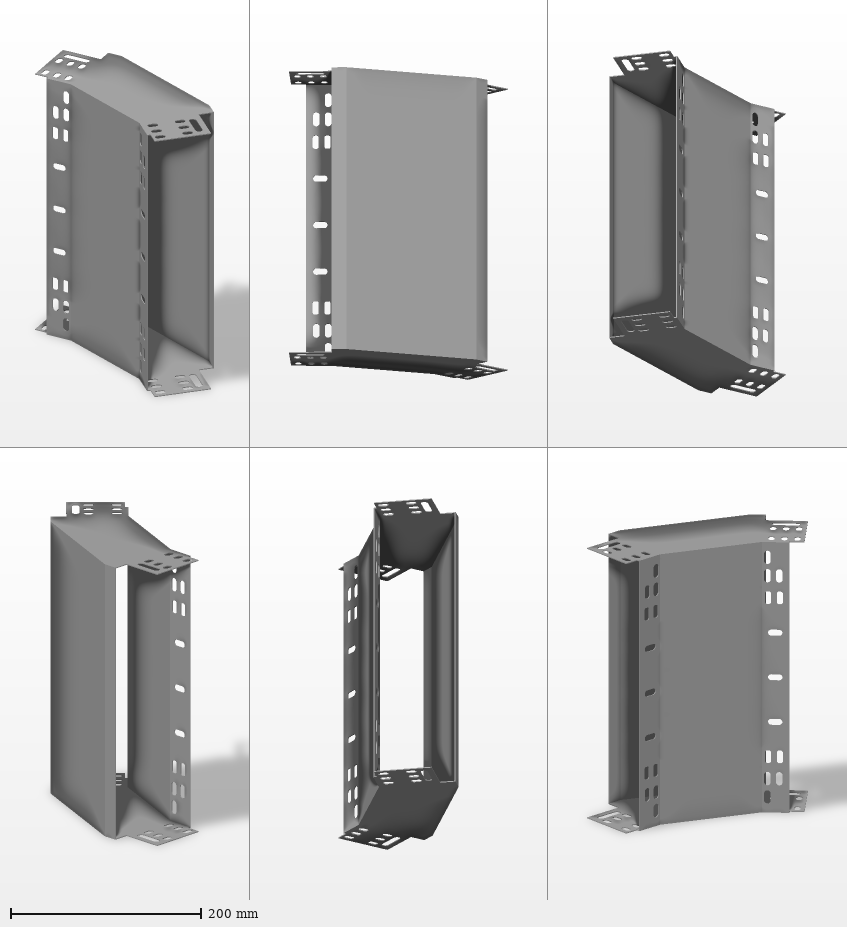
import cadquery as cq
import math

height = 303.2
sheet = 1.03
bend_angle = 22.5

channel_length = 245.5
channel_depth = 82.2
lid_back_y = 48.0
floor_wing_length = 29.0
lid_wing_length = 15.8
lid_flange_depth = 22.7

tab_reach = 44.5
tab_low = 3.5
tab_high = 65.5
tab_slot_width = 6.7
tab_slot_length = 11.5
tab_slot_first = 9.5
tab_slot_pitch = 13.5
tab_slots_per_row = 3
tab_slot_rows = (12.0, 42.0)
tab_long_slot_width = 8.0
tab_long_slot_length = 30.0
tab_long_slot_along = 22.5
tab_long_slot_row = 55.5

wing_slot_width = 7.0
wing_slot_length = 15.2
end_slot_inner = 5.8
end_slot_pitch = 12.5
end_slot_high_z = 134.3
end_slot_low_z = 113.7
lock_slot_width = 6.5
lock_slot_length = 14.3
lock_slot_corner_radius = 2.0
lock_slot_inner = 6.5
lock_slot_pitch = 12.5
lock_slot_z = 89.0
cross_slot_offset = 14.0
cross_slot_pitch = 50.0

cos_bend = math.cos(math.radians(bend_angle))
sin_bend = math.sin(math.radians(bend_angle))
tan_half_bend = math.tan(math.radians(bend_angle / 2))

floor_bend_x = channel_length / 2 - tab_reach * cos_bend - tab_high * sin_bend
floor_y = lid_back_y - channel_depth
lid_bend_along = -channel_depth * tan_half_bend
lid_tip_along = lid_bend_along + lid_wing_length
side_plate_bottoms = (-height / 2, height / 2 - sheet)
lid_inside = channel_depth - sheet
flange_half_width = floor_bend_x + lid_inside * tan_half_bend
lid_flange_end_y = lid_back_y - lid_flange_depth


def bent_point(along, across):
    """XY point of the +X bent channel, measured from the floor bend."""
    x = floor_bend_x + along * cos_bend + across * sin_bend
    y = floor_y - along * sin_bend + across * cos_bend
    return (x, y)


def mitre_point(across):
    """XY point on the +X bend, at a distance across the channel from the floor."""
    return (floor_bend_x + across * tan_half_bend, floor_y + across)


def symmetric_prism(right_points, bottom, thickness):
    """Prism whose outline is a +X half outline and its mirror image."""
    left_points = [(-x, y) for x, y in reversed(right_points)]
    outline = cq.Workplane("XY").workplane(offset=bottom).polyline(right_points + left_points)
    return outline.close().extrude(thickness)


def both_sides(cutter):
    """A cutter and its mirror image in the YZ plane."""
    return cutter.union(cutter.mirror("YZ"))


def floor_with_wings():
    """Flat floor with a bent wing at each end, over the full height."""
    outline = [
        mitre_point(0),
        bent_point(floor_wing_length, 0),
        bent_point(floor_wing_length, sheet),
        mitre_point(sheet),
    ]
    return symmetric_prism(outline, -height / 2, height)


def side_plate(bottom):
    """Side plate with its two tabs and a rectangular notch that the lid flange fills."""
    outline = [
        mitre_point(0),
        bent_point(floor_wing_length, 0),
        bent_point(floor_wing_length, tab_low),
        bent_point(tab_reach, tab_low),
        bent_point(tab_reach, tab_high),
        bent_point(lid_tip_along, tab_high),
        bent_point(lid_tip_along, lid_inside),
        mitre_point(lid_inside),
        (flange_half_width, lid_flange_end_y),
    ]
    return symmetric_prism(outline, bottom, sheet)


def tab_slots():
    """Slots through the +X tabs of both side plates."""
    plane = cq.Plane(
        origin=(floor_bend_x, floor_y, -height / 2),
        xDir=(cos_bend, -sin_bend, 0),
        normal=(0, 0, 1),
    )
    places = [
        (tab_slot_first + step * tab_slot_pitch, row)
        for step in range(tab_slots_per_row)
        for row in tab_slot_rows
    ]
    short = cq.Workplane(plane).pushPoints(places).slot2D(tab_slot_length, tab_slot_width, 90)
    long = cq.Workplane(plane).center(tab_long_slot_along, tab_long_slot_row)
    long = long.slot2D(tab_long_slot_length, tab_long_slot_width)
    return short.extrude(height).union(long.extrude(height))


def wing_slots():
    """Slots through the +X floor wing."""
    plane = cq.Plane(
        origin=(floor_bend_x, floor_y, 0),
        xDir=(cos_bend, -sin_bend, 0),
        normal=(-sin_bend, -cos_bend, 0),
    )
    end_outer = end_slot_inner + end_slot_pitch
    lock_outer = lock_slot_inner + lock_slot_pitch
    end_places = []
    lock_places = []
    for side in (-1, 1):
        end_places.append((end_slot_inner, side * end_slot_high_z))
        end_places.append((end_slot_inner, side * end_slot_low_z))
        end_places.append((end_outer, side * end_slot_low_z))
        lock_places.append((lock_slot_inner, side * lock_slot_z))
        lock_places.append((lock_outer, side * lock_slot_z))
    cross_places = [(cross_slot_offset, step * cross_slot_pitch) for step in (-1, 0, 1)]

    ends = cq.Workplane(plane).pushPoints(end_places).slot2D(wing_slot_length, wing_slot_width, 90)
    lock_shape = cq.Sketch().rect(lock_slot_width, lock_slot_length)
    lock_shape = lock_shape.vertices().fillet(lock_slot_corner_radius)
    locks = cq.Workplane(plane).pushPoints(lock_places).placeSketch(lock_shape)
    crosses = cq.Workplane(plane).pushPoints(cross_places).slot2D(wing_slot_length, wing_slot_width)
    return ends.extrude(-sheet).union(locks.extrude(-sheet)).union(crosses.extrude(-sheet))


def channel_body():
    """Slotted floor and two side plates as one sheet-metal channel."""
    body = floor_with_wings()
    for bottom in side_plate_bottoms:
        body = body.union(side_plate(bottom))
    return body.cut(both_sides(tab_slots())).cut(both_sides(wing_slots()))


def lid_body():
    """Lid panel with two bent wings and a flange flush in each side plate."""
    outline = [
        mitre_point(channel_depth),
        bent_point(lid_tip_along, channel_depth),
        bent_point(lid_tip_along, lid_inside),
        mitre_point(lid_inside),
    ]
    body = symmetric_prism(outline, -height / 2, height)
    flange_outline = [(flange_half_width, lid_flange_end_y), mitre_point(lid_inside)]
    for bottom in side_plate_bottoms:
        body = body.union(symmetric_prism(flange_outline, bottom, sheet))
    return body


channel = channel_body()
lid = lid_body()
result = cq.Compound.makeCompound([channel.val(), lid.val()])